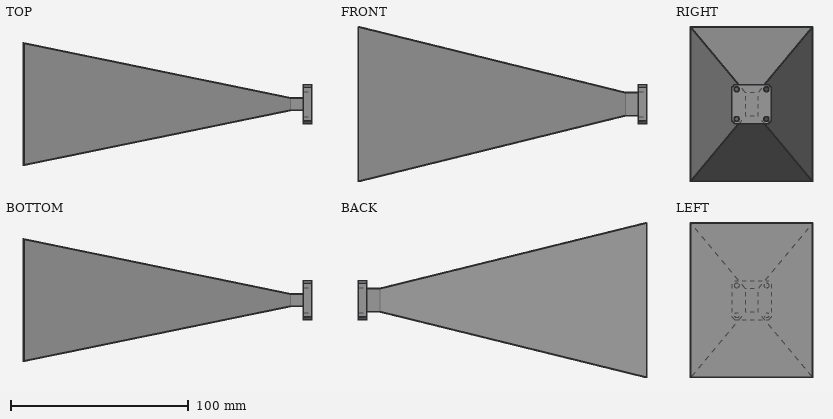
import cadquery as cq

total_length = 162.5
aperture_width = 69.0
aperture_height = 87.0

side_bevel_length = 0.1
side_bevel_inset = 0.3
top_bevel_length = 0.7
top_bevel_inset = 0.2

neck_length = 7.3
neck_width = 7.2
neck_height = 13.2

flange_size = 22.1
flange_thickness = 4.9
flange_chamfer = 1.6
hole_diameter = 2.8
hole_spacing = 16.7

flange_start = total_length - flange_thickness
horn_length = flange_start - neck_length


def tapered_slab(plane, aperture_size, neck_size, bevel_length, bevel_inset, thickness):
    """Slab symmetric about X, tapering to the neck, with both aperture corners bevelled."""
    half_aperture = aperture_size / 2
    return (
        cq.Workplane(plane)
        .moveTo(0, bevel_inset - half_aperture)
        .lineTo(0, half_aperture - bevel_inset)
        .lineTo(bevel_length, half_aperture)
        .lineTo(horn_length, neck_size / 2)
        .lineTo(horn_length, -neck_size / 2)
        .lineTo(bevel_length, -half_aperture)
        .close()
        .extrude(thickness / 2, both=True)
    )


def make_horn():
    """Solid rectangular taper: the overlap of its plan and its side profile."""
    plan = tapered_slab(
        "XY", aperture_width, neck_width, side_bevel_length, side_bevel_inset, aperture_height
    )
    profile = tapered_slab(
        "XZ", aperture_height, neck_height, top_bevel_length, top_bevel_inset, aperture_width
    )
    return plan.intersect(profile)


def make_neck():
    """Straight rectangular section between the horn and the flange."""
    return (
        cq.Workplane("YZ", origin=(horn_length, 0, 0))
        .rect(neck_width, neck_height)
        .extrude(neck_length)
    )


def make_flange():
    """Square plate with chamfered corners and four through holes."""
    return (
        cq.Workplane("YZ", origin=(flange_start, 0, 0))
        .rect(flange_size, flange_size)
        .extrude(flange_thickness)
        .edges("|X")
        .chamfer(flange_chamfer)
        .faces(">X")
        .workplane(centerOption="CenterOfBoundBox")
        .rect(hole_spacing, hole_spacing, forConstruction=True)
        .vertices()
        .hole(hole_diameter)
    )


result = make_horn().union(make_neck()).union(make_flange())